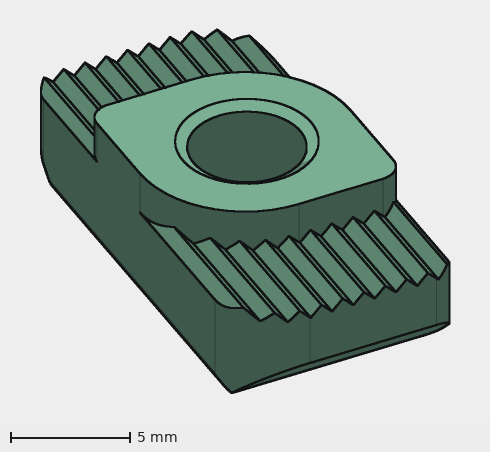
import cadquery as cq
import math

length = 19.8
width = 9.9
height = 6.3
crest_height = 4.77
large_corner_radius = 2.97
small_corner_radius = 0.99
end_chamfer = 1.95

lower_edge_radius = 0.5

tooth_count = 10
serration_span = 10.0
tooth_pitch = serration_span / tooth_count
tooth_depth = tooth_pitch / 2
left_root_offset = 0.0
right_root_offset = 0.05

boss_size = width
boss_overlap = 0.2
hole_diameter = 5.0
countersink_diameter = 6.02
countersink_angle = 120
hole_offset_y = 0.08


def rounded_plate(size_x, size_y, thickness, large_radius, small_radius):
    """Plate with large radii at (-X, +Y) and (+X, -Y), small radii at the other corners."""
    plate = cq.Workplane("XY").box(size_x, size_y, thickness, centered=(True, True, False))
    plate = plate.edges("|Z and ((>X and >Y) or (<X and <Y))").fillet(small_radius)
    half_x = size_x / 2
    half_y = size_y / 2
    corner_cut = (
        cq.Workplane("XY")
        .moveTo(-half_x, half_y - large_radius)
        .radiusArc((-half_x + large_radius, half_y), large_radius)
        .lineTo(-half_x, half_y)
        .close()
        .extrude(thickness)
    )
    opposite_cut = corner_cut.rotate((0, 0, 0), (0, 0, 1), 180)
    return plate.cut(corner_cut).cut(opposite_cut)


def end_profile():
    """Block silhouette along Y, with both lower ends bevelled."""
    half = length / 2
    return (
        cq.Workplane("XZ")
        .polyline([
            (-half + end_chamfer, 0),
            (half - end_chamfer, 0),
            (half, end_chamfer),
            (half, crest_height),
            (-half, crest_height),
            (-half, end_chamfer),
        ])
        .close()
        .extrude(width / 2, both=True)
    )


def long_profile():
    """Block silhouette along X, with both lower long edges rounded."""
    return (
        cq.Workplane("XY")
        .box(length, width, crest_height, centered=(True, True, False))
        .faces("<Z")
        .edges("|X")
        .fillet(lower_edge_radius)
    )


def cut_grooves(body, root_offset, direction):
    """Cut V grooves running from the middle of the block out to one end."""
    roots_per_side = math.ceil(width / 2 / tooth_pitch)
    for index in range(-roots_per_side, roots_per_side + 1):
        root_y = root_offset + index * tooth_pitch
        groove = (
            cq.Workplane("YZ")
            .polyline([
                (root_y, crest_height - tooth_depth),
                (root_y + tooth_pitch / 2, crest_height),
                (root_y - tooth_pitch / 2, crest_height),
            ])
            .close()
            .extrude(direction * length / 2)
        )
        body = body.cut(groove)
    return body


block = rounded_plate(length, width, crest_height, large_corner_radius, small_corner_radius)
block = block.intersect(end_profile()).intersect(long_profile())

block = cut_grooves(block, left_root_offset, -1)
block = cut_grooves(block, right_root_offset, 1)

boss_base = crest_height - tooth_depth - boss_overlap
boss = rounded_plate(
    boss_size, boss_size, height - boss_base, boss_size / 2, small_corner_radius
).translate((0, 0, boss_base))

result = (
    block.union(boss)
    .faces(">Z")
    .workplane(origin=(0, hole_offset_y, height))
    .cskHole(hole_diameter, countersink_diameter, countersink_angle)
)